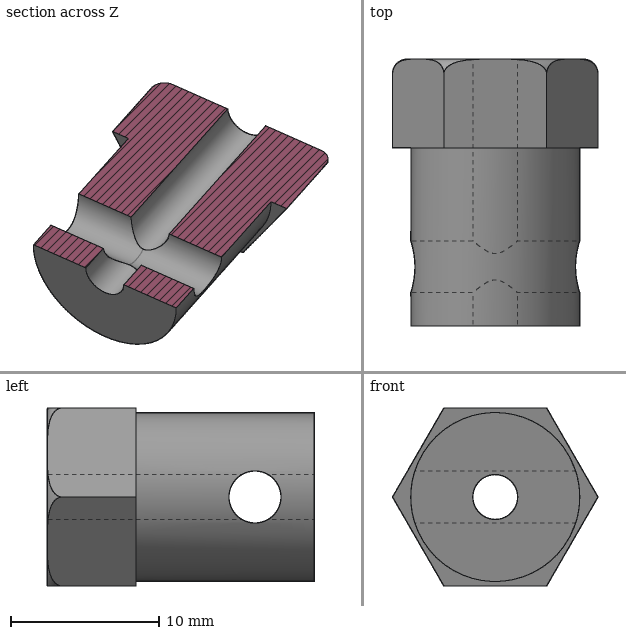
import cadquery as cq
import math

total_length = 18.0
head_length = 6.0
across_flats = 12.0
head_round_radius = 1.0
shank_diameter = 11.4
bore_diameter = 3.0
cross_hole_diameter = 3.5
cross_hole_from_end = 4.0

shank_length = total_length - head_length
across_corners = across_flats / math.cos(math.pi / 6)
corner_radius = across_corners / 2


def cylinder_along_y(diameter, length):
    """Cylinder on the Y axis, growing from Y = 0 toward +Y."""
    return cq.Workplane("XZ").circle(diameter / 2).extrude(-length)


def corner_rounding_cutter():
    """Ring that rounds the hexagon corners at the far end of the head."""
    margin = head_round_radius
    outer_radius = corner_radius + margin
    arc_start_y = total_length - head_round_radius
    arc_end_x = corner_radius - head_round_radius
    arc_offset = head_round_radius * math.cos(math.pi / 4)
    return (
        cq.Workplane("XY")
        .moveTo(corner_radius, arc_start_y)
        .threePointArc(
            (arc_end_x + arc_offset, arc_start_y + arc_offset),
            (arc_end_x, total_length),
        )
        .lineTo(arc_end_x, total_length + margin)
        .lineTo(outer_radius, total_length + margin)
        .lineTo(outer_radius, arc_start_y)
        .close()
        .revolve(360, (0, 0, 0), (0, 1, 0))
    )


def hex_head():
    """Hexagon with corners on +X and -X, rounded at its far end."""
    head = (
        cq.Workplane("XZ", origin=(0, shank_length, 0))
        .polygon(6, across_corners)
        .extrude(-head_length)
    )
    return head.cut(corner_rounding_cutter())


def cross_hole():
    """Hole through both sides of the shank along X."""
    return (
        cq.Workplane("YZ")
        .center(cross_hole_from_end, 0)
        .circle(cross_hole_diameter / 2)
        .extrude(shank_diameter, both=True)
    )


shank = cylinder_along_y(shank_diameter, shank_length)
bore = cylinder_along_y(bore_diameter, total_length)
result = hex_head().union(shank).cut(bore).cut(cross_hole())